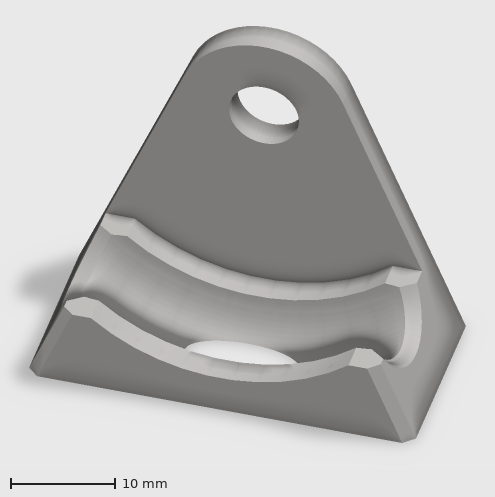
import cadquery as cq
import math

base_width = 38.6
depth = 18.5
height = 32.9
base_height = 8.5
plate_thickness = 3.0
eye_height = 24.35
eye_diameter = 7.0
wheel_radius = 20.42
groove_path_radius = 20.0
groove_radius = 5.0
edge_chamfer = 1.0
mouth_chamfer = 1.35

half_width = base_width / 2
tip_radius = height - eye_height
groove_y = -(plate_thickness + depth) / 2

corner_distance = math.hypot(half_width, eye_height)
tangent_angle = math.acos(tip_radius / corner_distance) - math.atan2(eye_height, half_width)
tangent_x = tip_radius * math.cos(tangent_angle)
tangent_z = eye_height + tip_radius * math.sin(tangent_angle)
base_top_half_width = half_width - base_height * math.tan(tangent_angle)


def make_plate():
    """Upright plate with tapered flanks and a rounded tip."""
    return (
        cq.Workplane("XZ")
        .moveTo(-half_width, 0)
        .lineTo(half_width, 0)
        .lineTo(tangent_x, tangent_z)
        .threePointArc((0, height), (-tangent_x, tangent_z))
        .close()
        .extrude(plate_thickness)
    )


def make_base():
    """Tapered base with its two front flank edges chamfered."""
    base = (
        cq.Workplane("XZ")
        .moveTo(-half_width, 0)
        .lineTo(half_width, 0)
        .lineTo(base_top_half_width, base_height)
        .lineTo(-base_top_half_width, base_height)
        .close()
        .extrude(depth)
    )
    return base.faces("<Y").edges("not |X").chamfer(edge_chamfer)


def make_wheel_recess():
    """Cylinder in front of the plate, centred on the eye."""
    return (
        cq.Workplane("XZ", origin=(0, -plate_thickness, eye_height))
        .circle(wheel_radius)
        .extrude(depth)
    )


def make_groove():
    """Ring of round section, centred on the eye axis."""
    ring = cq.Solid.makeTorus(
        groove_path_radius, groove_radius,
        cq.Vector(0, groove_y, eye_height), cq.Vector(0, 1, 0),
    )
    return cq.Workplane(obj=ring)


def chamfer_groove_mouths(body):
    """Chamfer the curved edges where the groove leaves the flanks."""
    inner_x = base_top_half_width - mouth_chamfer
    for side in (-1, 1):
        region = cq.selectors.BoxSelector(
            (side * inner_x, groove_y - groove_radius / 2, base_height / 2),
            (side * half_width, groove_y + groove_radius / 2, base_height),
        )
        body = body.edges(region).chamfer(mouth_chamfer)
    return body


base = make_base().cut(make_wheel_recess()).cut(make_groove())
base = chamfer_groove_mouths(base)
eye = (
    cq.Workplane("XZ", origin=(0, 0, eye_height))
    .circle(eye_diameter / 2)
    .extrude(plate_thickness)
)
result = base.union(make_plate()).cut(eye)